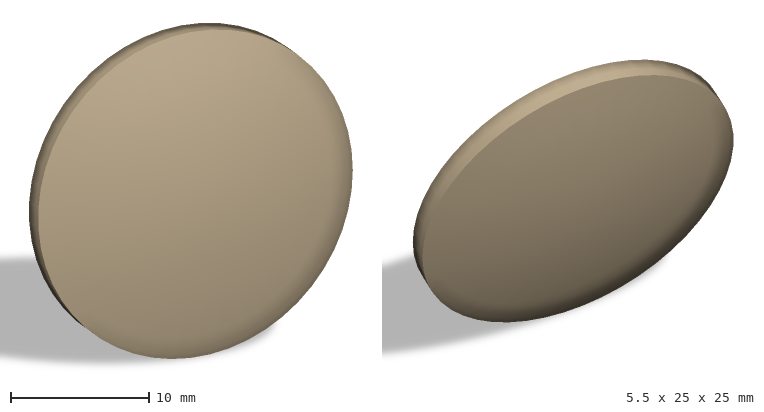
import cadquery as cq

diameter = 25.0
center_thickness = 5.5
edge_thickness = 1.6

radius = diameter / 2
half_center = center_thickness / 2
half_edge = edge_thickness / 2

sagitta = half_center - half_edge
sphere_radius = (radius**2 + sagitta**2) / (2 * sagitta)

mid_height = radius / 2
mid_x = half_center - sphere_radius + (sphere_radius**2 - mid_height**2) ** 0.5

half_section = (
    cq.Workplane("XY")
    .moveTo(-half_center, 0)
    .threePointArc((-mid_x, mid_height), (-half_edge, radius))
    .lineTo(half_edge, radius)
    .threePointArc((mid_x, mid_height), (half_center, 0))
    .close()
)

result = half_section.revolve(360, (0, 0, 0), (1, 0, 0))